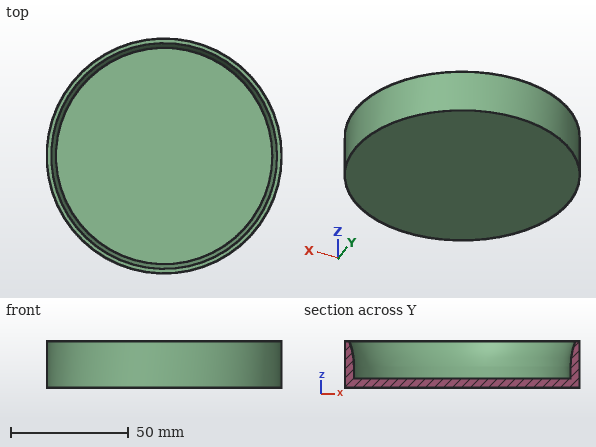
import cadquery as cq
import math

outer_diameter = 100.0
bore_diameter = 92.0
height = 19.79
floor_thickness = 4.0
bore_top = 9.0
rim_width = 2.0

outer_radius = outer_diameter / 2
bore_radius = bore_diameter / 2
mouth_radius = outer_radius - rim_width

flare_height = height - bore_top
flare_widening = mouth_radius - bore_radius
flare_radius = (flare_height**2 + flare_widening**2) / (2 * flare_widening)
flare_angle = math.asin(flare_height / flare_radius)


def flare_point(angle):
    """Radius and height on the flare arc, measured from the top of the bore."""
    radius = bore_radius + flare_radius * (1 - math.cos(angle))
    level = bore_top + flare_radius * math.sin(angle)
    return radius, level


def make_dish():
    """Revolve the half section of the floor and wall about the Z axis."""
    section = (
        cq.Workplane("XZ")
        .lineTo(outer_radius, 0)
        .lineTo(outer_radius, height)
        .lineTo(mouth_radius, height)
        .threePointArc(flare_point(flare_angle / 2), (bore_radius, bore_top))
        .lineTo(bore_radius, floor_thickness)
        .lineTo(0, floor_thickness)
        .close()
    )
    return section.revolve(360, (0, 0, 0), (0, 1, 0))


result = make_dish()